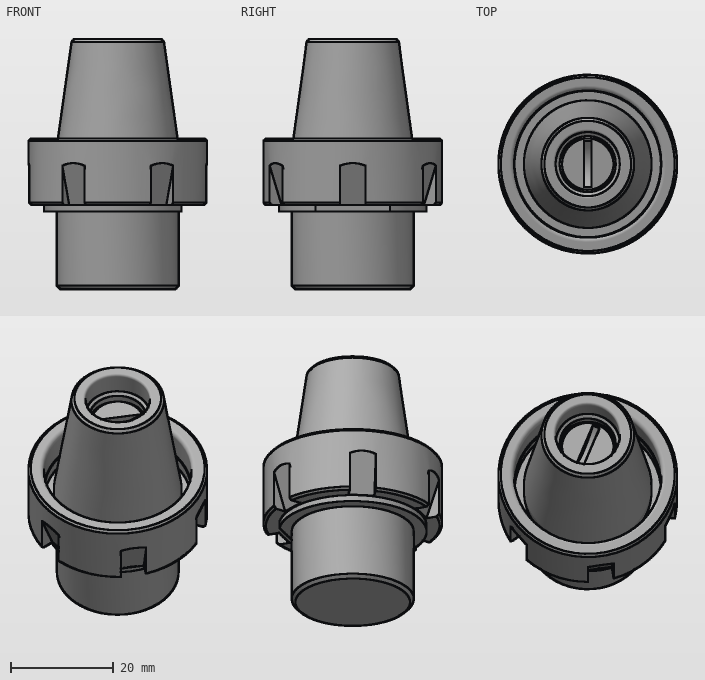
import cadquery as cq
import math

total_height = 49.0
shank_radius = 11.95
shank_chamfer = 0.75
ring_bottom = 15.2
ring_radius = 14.45
ring_flat_distance = 12.5
nut_bottom = 16.45
nut_top = 29.5
nut_radius = 17.5
nut_chamfer = 0.5

taper_angle = 8.0
nose_chamfer = 0.6
nose_top_radius = 9.05
nose_base_radius = 12.5
nose_land_radius = 8.5
gap_floor = 21.2
gap_lower_radius = 14.3
gap_upper_radius = 14.4
gap_step = 23.85
gap_fillet = 0.9

bore_radius = 6.25
bore_fillet = 0.5
bore_depth = 4.4
seat_height = 0.5
seat_radius = 5.5
plug_top = 42.95
plug_chamfer = 0.465
slot_width = 1.4
slot_length = 9.0
slot_depth = 1.95

notch_count = 6
notch_width = 5.05
notch_top = 24.7
notch_bottom_radius = 14.6


def cylinder(radius, bottom, top):
    return cq.Workplane("XY").workplane(offset=bottom).circle(radius).extrude(top - bottom)


def revolve_profile(profile):
    """Turn a closed radius-height profile about the Z axis."""
    return profile.close().revolve(360, (0, 0, 0), (0, 1, 0))


def make_shank():
    return cylinder(shank_radius, 0, nut_bottom).faces("<Z").chamfer(shank_chamfer)


def make_ring():
    """Thin ring below the nut, with one flat on the +X side."""
    ring = cylinder(ring_radius, ring_bottom, nut_bottom)
    keep = cq.Workplane("XY").box(
        ring_flat_distance + ring_radius, 2 * ring_radius, total_height, centered=(False, True, False)
    )
    return ring.intersect(keep.translate((-ring_radius, 0, 0)))


def make_nut():
    nut = cylinder(nut_radius, nut_bottom, nut_top).faces("<Z or >Z").chamfer(nut_chamfer)
    return nut.cut(make_gap()).cut(make_notches())


def make_gap():
    rim_radius = gap_upper_radius + gap_fillet
    fillet_diagonal = gap_fillet * math.sqrt(0.5)
    return revolve_profile(
        cq.Workplane("XZ")
        .moveTo(0, gap_floor)
        .lineTo(gap_lower_radius, gap_floor)
        .lineTo(gap_lower_radius, gap_step)
        .lineTo(gap_upper_radius, gap_step)
        .lineTo(gap_upper_radius, nut_top - gap_fillet)
        .threePointArc(
            (rim_radius - fillet_diagonal, nut_top - gap_fillet + fillet_diagonal), (rim_radius, nut_top)
        )
        .lineTo(0, nut_top)
    )


def make_notches():
    notch = (
        cq.Workplane("XZ")
        .moveTo(notch_bottom_radius, nut_bottom)
        .lineTo(nut_radius, notch_top)
        .lineTo(nut_radius, nut_bottom)
        .close()
        .extrude(notch_width / 2, both=True)
    )
    notches = cq.Workplane("XY")
    for index in range(notch_count):
        notches = notches.add(notch.rotate((0, 0, 0), (0, 0, 1), index * 360 / notch_count))
    return notches.combine()


def make_nose():
    taper_top = total_height - nose_chamfer
    taper_bottom = taper_top - (nose_base_radius - nose_top_radius) / math.tan(math.radians(taper_angle))
    return revolve_profile(
        cq.Workplane("XZ")
        .moveTo(0, gap_floor)
        .lineTo(nose_base_radius, gap_floor)
        .lineTo(nose_base_radius, taper_bottom)
        .lineTo(nose_top_radius, taper_top)
        .lineTo(nose_land_radius, total_height)
        .lineTo(0, total_height)
    )


def make_bore():
    """Bore with a rounded mouth, a conical seat and a chamfered plug below it."""
    rim_radius = bore_radius + bore_fillet
    fillet_diagonal = bore_fillet * math.sqrt(0.5)
    seat_top = total_height - bore_depth
    return revolve_profile(
        cq.Workplane("XZ")
        .moveTo(0, plug_top)
        .lineTo(seat_radius - plug_chamfer, plug_top)
        .lineTo(seat_radius, plug_top - plug_chamfer)
        .lineTo(seat_radius, seat_top - seat_height)
        .lineTo(bore_radius, seat_top)
        .lineTo(bore_radius, total_height - bore_fillet)
        .threePointArc(
            (rim_radius - fillet_diagonal, total_height - bore_fillet + fillet_diagonal),
            (rim_radius, total_height),
        )
        .lineTo(0, total_height)
    )


def make_slot():
    """Screwdriver slot along Y with an arc-shaped floor."""
    return (
        cq.Workplane("YZ")
        .moveTo(-slot_length / 2, plug_top)
        .threePointArc((0, plug_top - slot_depth), (slot_length / 2, plug_top))
        .close()
        .extrude(slot_width / 2, both=True)
    )


body = make_shank().union(make_ring()).union(make_nut()).union(make_nose())
result = body.cut(make_bore()).cut(make_slot())